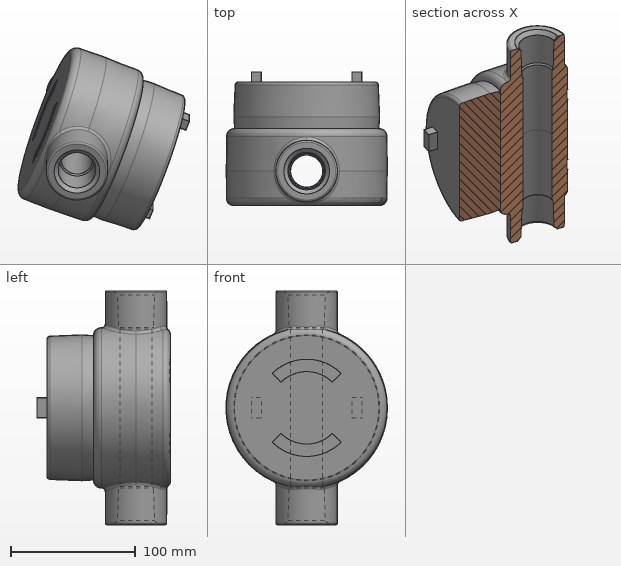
import cadquery as cq
import math


housing_diameter = 129.5
housing_radius = housing_diameter / 2
housing_draft = 1.0
housing_front = -27.7
housing_back = 34.0
housing_rounding = 6.4

hub_length = 187.3
hub_diameter = 49.3
hub_rim_rounding = 1.5
hub_root_rounding = 2.8
root_reach = 15.0
root_side_gap = 3.7

throat_diameter = 25.7
socket_mouth_diameter = 30.0
socket_end_diameter = 28.1
socket_length = 26.2
countersink_diameter = 36.5

plate_inner_radius = 29.0
plate_outer_radius = 39.0
plate_half_angle = 45.0
plate_depth = 0.7

cover_radius = 58.5
cover_seat_radius = 57.9
cover_back_radius = 57.3
cover_parting = 43.5
cover_back = 71.4
cover_rounding = 2.6

lug_back = 79.5
lug_width = 8.0
lug_height = 16.3
lug_offset = 40.3


def turned(profile):
    """Revolve a closed outline of (radius, y) points about the Y axis."""
    return cq.Workplane("XY").polyline(profile).close().revolve(360, (0, 0, 0), (0, 1, 0))


def make_drum():
    draft_slope = math.tan(math.radians(housing_draft))
    front_radius = housing_radius + housing_front * draft_slope
    back_radius = housing_radius - housing_back * draft_slope
    drum = turned([
        (0, housing_front),
        (front_radius, housing_front),
        (housing_radius, 0),
        (back_radius, housing_back),
        (0, housing_back),
    ])
    return drum.faces("<Y or >Y").edges().fillet(housing_rounding)


def add_hubs(drum):
    """Join the hubs to the drum, then round their roots and rims."""
    hubs = cq.Workplane("XY").circle(hub_diameter / 2).extrude(hub_length / 2, both=True)
    hubs = hubs.rotate((0, 0, 0), (0, 0, 1), 90)
    body = drum.union(hubs)

    root_width = hub_diameter + 2 * root_side_gap
    root_bottom = housing_radius - root_reach
    root_top = housing_radius + root_reach
    for side_bottom, side_top in ((root_bottom, root_top), (-root_top, -root_bottom)):
        root_box = cq.selectors.BoxSelector(
            (-root_width / 2, -root_width / 2, side_bottom),
            (root_width / 2, root_width / 2, side_top),
            boundingbox=True,
        )
        body = body.edges(root_box).fillet(hub_root_rounding)

    return body.faces("<Z or >Z").edges().fillet(hub_rim_rounding)


def make_bore():
    """Cutter for the bore: the upper half is revolved about Z and mirrored downwards."""
    rim = hub_length / 2
    socket_mouth = rim - (countersink_diameter - socket_mouth_diameter) / 2
    socket_end = socket_mouth - socket_length
    throat_radius = throat_diameter / 2
    socket_end_radius = socket_end_diameter / 2
    throat_start = socket_end - (socket_end_radius - throat_radius)
    upper_half = (
        cq.Workplane("XZ")
        .polyline([
            (0, 0),
            (throat_radius, 0),
            (throat_radius, throat_start),
            (socket_end_radius, socket_end),
            (socket_mouth_diameter / 2, socket_mouth),
            (countersink_diameter / 2, rim),
            (0, rim),
        ])
        .close()
        .revolve(360, (0, 0, 0), (0, 1, 0))
    )
    return upper_half.union(upper_half.mirror("XY"))


def make_plate_recess(middle_angle):
    """Arc-shaped cutter in the front face, centred on the given angle from +X."""
    def arc_point(radius, angle):
        turn = math.radians(middle_angle + angle)
        return (radius * math.cos(turn), radius * math.sin(turn))

    return (
        cq.Workplane("XZ", origin=(0, housing_front, 0))
        .moveTo(*arc_point(plate_inner_radius, -plate_half_angle))
        .lineTo(*arc_point(plate_outer_radius, -plate_half_angle))
        .threePointArc(
            arc_point(plate_outer_radius, 0), arc_point(plate_outer_radius, plate_half_angle)
        )
        .lineTo(*arc_point(plate_inner_radius, plate_half_angle))
        .threePointArc(
            arc_point(plate_inner_radius, 0), arc_point(plate_inner_radius, -plate_half_angle)
        )
        .close()
        .extrude(-plate_depth)
    )


def make_housing():
    body = add_hubs(make_drum()).cut(make_bore())
    for middle_angle in (90, -90):
        body = body.cut(make_plate_recess(middle_angle))
    return body


def make_cover():
    body = turned([
        (0, housing_back),
        (cover_seat_radius, housing_back),
        (cover_radius, cover_parting),
        (cover_back_radius, cover_back),
        (0, cover_back),
    ])
    body = body.faces(">Y").edges().fillet(cover_rounding)

    lug_length = lug_back - cover_back
    for side in (-1, 1):
        lug = cq.Workplane("XY").box(lug_width, lug_length, lug_height)
        body = body.union(lug.translate((side * lug_offset, cover_back + lug_length / 2, 0)))
    return body


housing = make_housing()
cover = make_cover()

result = cq.Compound.makeCompound([housing.solids().val(), cover.solids().val()])